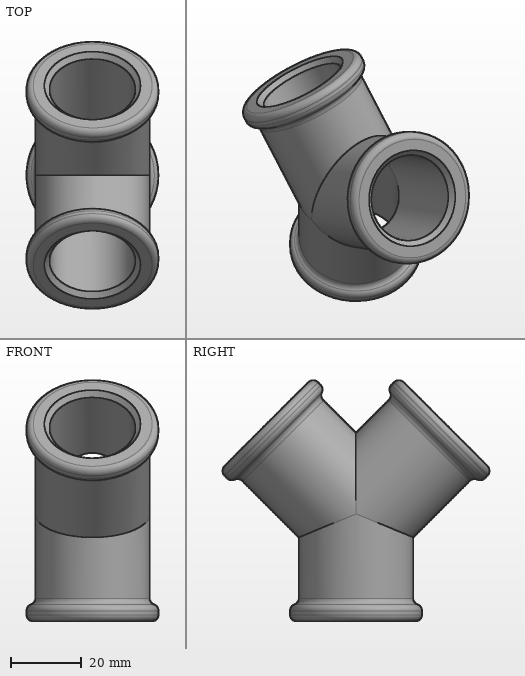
import cadquery as cq
import math

SPAN = 75.75
HEIGHT = 68.4
PIPE_RADIUS = 32.5 / 2
BORE_RADIUS = 24.3 / 2
COLLAR_RADIUS = 37.5 / 2
COLLAR_ROUND = 1.9
NECK_ROUND = 1.9
COLLAR_LAND = 1.1
MOUTH_RADIUS = 27.3 / 2
BRANCH_ANGLE = 45.0

mouth_chamfer = MOUTH_RADIUS - BORE_RADIUS
junction_height = HEIGHT - SPAN / 2
round_center_radius = COLLAR_RADIUS - COLLAR_ROUND
tilt_factor = math.cos(math.radians(BRANCH_ANGLE))
upper_length = (SPAN / 2 - COLLAR_ROUND) / tilt_factor - round_center_radius + COLLAR_ROUND


def branch_outside(length):
    """Solid branch along +Z, from the junction at the origin to its collar face."""
    front_center = length - COLLAR_ROUND
    back_center = front_center - COLLAR_LAND

    neck_center_radius = PIPE_RADIUS + NECK_ROUND
    center_distance = COLLAR_ROUND + NECK_ROUND
    radial_step = neck_center_radius - round_center_radius
    neck_center = back_center - math.sqrt(center_distance**2 - radial_step**2)
    tangent_angle = math.atan2(neck_center - back_center, radial_step)

    def on_collar(center, angle):
        return (
            round_center_radius + COLLAR_ROUND * math.cos(angle),
            center + COLLAR_ROUND * math.sin(angle),
        )

    def on_neck(angle):
        return (
            neck_center_radius + NECK_ROUND * math.cos(angle),
            neck_center + NECK_ROUND * math.sin(angle),
        )

    neck_start_angle = tangent_angle + math.pi
    neck_middle_angle = (neck_start_angle + math.pi) / 2

    return (
        cq.Workplane("XZ")
        .moveTo(0, 0)
        .lineTo(PIPE_RADIUS, 0)
        .lineTo(PIPE_RADIUS, neck_center)
        .threePointArc(on_neck(neck_middle_angle), on_neck(neck_start_angle))
        .threePointArc(on_collar(back_center, tangent_angle / 2), (COLLAR_RADIUS, back_center))
        .lineTo(COLLAR_RADIUS, front_center)
        .threePointArc(on_collar(front_center, math.pi / 4), (round_center_radius, length))
        .lineTo(0, length)
        .close()
        .revolve(360, (0, 0, 0), (0, 1, 0))
    )


def branch_bore(length):
    """Bore along +Z with a chamfered mouth."""
    return (
        cq.Workplane("XZ")
        .moveTo(0, 0)
        .lineTo(BORE_RADIUS, 0)
        .lineTo(BORE_RADIUS, length - mouth_chamfer)
        .lineTo(MOUTH_RADIUS, length)
        .lineTo(0, length)
        .close()
        .revolve(360, (0, 0, 0), (0, 1, 0))
    )


def place(shape, angle):
    """Tilt a branch about X and move its start to the junction."""
    return shape.rotate((0, 0, 0), (1, 0, 0), angle).translate((0, 0, junction_height))


def join_branches(make_branch):
    """Fuse the two upper branches and the lower one."""
    joined = place(make_branch(junction_height), 180)
    for angle in (-BRANCH_ANGLE, BRANCH_ANGLE):
        joined = joined.union(place(make_branch(upper_length), angle))
    return joined


result = join_branches(branch_outside).cut(join_branches(branch_bore))